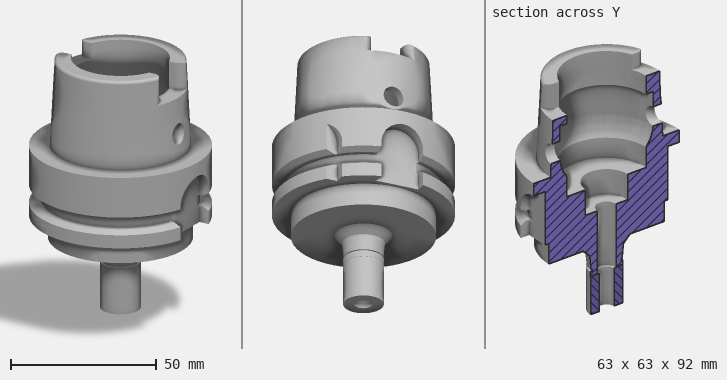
import cadquery as cq
import math


TAPER_TOP = 32.0
TAPER_BASE_RADIUS = 24.3
TAPER_SLOPE = 0.05
TAPER_TOP_RADIUS = TAPER_BASE_RADIUS - TAPER_SLOPE * TAPER_TOP
RIM_FILLET = 1.2

FLANGE_RADIUS = 31.5
FLANGE_BOTTOM = -26.0
GROOVE_CENTRE_Z = -17.9
GROOVE_HALF_WIDTH = 1.95
GROOVE_BOTTOM_RADIUS = 27.45
FLANK_INNER_RADIUS = 29.2
FLANK_ANGLE = 30.0
FLANK_RISE = (FLANGE_RADIUS - FLANK_INNER_RADIUS) * math.tan(math.radians(FLANK_ANGLE))

HUB_RADIUS = 25.0
HUB_BOTTOM = -34.0
NECK_TOP = -36.7
NECK_BOTTOM = -42.3
NECK_TOP_RADIUS = 7.42
NECK_BOTTOM_RADIUS = 6.85
CONE_TOP_RADIUS = NECK_TOP_RADIUS + HUB_BOTTOM - NECK_TOP
RELIEF_RADIUS = 6.35
RELIEF_BOTTOM = -42.9
COLLAR_RADIUS = 7.1

TIP_RADIUS = 7.0
TIP_TOP = -45.0
TIP_BOTTOM = -60.0
TIP_BORE_RADIUS = 3.1

MOUTH_RADIUS = 17.0
SHOULDER_Z = 18.7
CHAMBER_RADIUS = 20.0
CHAMBER_ARC_TOP = 6.2
CHAMBER_ARC_RADIUS = 13.0
CAVITY_FLOOR = -10.0
TUBE_SEAT_RADIUS = 9.0
TUBE_SEAT_DEPTH = 10.0
COOLANT_BORE_RADIUS = 4.0

DRIVE_SLOT_WIDTH = 12.5
DRIVE_CORNER_RADIUS = 3.0
DRIVE_FACE_X = 21.0
DRIVE_FLOOR_MINUS_X = 26.0
DRIVE_FLOOR_PLUS_X = 22.0

CROSS_HOLE_DIAMETER = 7.5
CROSS_HOLE_Z = 9.0

KEY_TOP = -5.0
KEY_FLOOR_X = 26.5
KEY_WIDTH_MINUS_X = 16.0
KEY_WIDTH_PLUS_X = 18.0
NOTCH_X = 20.3
NOTCH_Y = 20.0
NOTCH_WIDTH = 18.0
NOTCH_TOP = -3.5


def disc(radius, bottom, top):
    """Cylinder on the Z axis between two heights."""
    return cq.Workplane("XY").workplane(offset=bottom).circle(radius).extrude(top - bottom)


def turned_holder():
    """Solid of revolution: taper, grooved flange, hub, cone, neck, relief and collar."""
    groove_top = GROOVE_CENTRE_Z + GROOVE_HALF_WIDTH
    groove_bottom = GROOVE_CENTRE_Z - GROOVE_HALF_WIDTH
    profile = [
        (0, TAPER_TOP),
        (TAPER_TOP_RADIUS, TAPER_TOP),
        (TAPER_BASE_RADIUS, 0),
        (FLANGE_RADIUS, 0),
        (FLANGE_RADIUS, groove_top + FLANK_RISE),
        (FLANK_INNER_RADIUS, groove_top),
        (GROOVE_BOTTOM_RADIUS, groove_top),
        (GROOVE_BOTTOM_RADIUS, groove_bottom),
        (FLANK_INNER_RADIUS, groove_bottom),
        (FLANGE_RADIUS, groove_bottom - FLANK_RISE),
        (FLANGE_RADIUS, FLANGE_BOTTOM),
        (HUB_RADIUS, FLANGE_BOTTOM),
        (HUB_RADIUS, HUB_BOTTOM),
        (CONE_TOP_RADIUS, HUB_BOTTOM),
        (NECK_TOP_RADIUS, NECK_TOP),
        (NECK_BOTTOM_RADIUS, NECK_BOTTOM),
        (RELIEF_RADIUS, NECK_BOTTOM),
        (RELIEF_RADIUS, RELIEF_BOTTOM),
        (COLLAR_RADIUS, RELIEF_BOTTOM),
        (COLLAR_RADIUS, TIP_TOP),
        (0, TIP_TOP),
    ]
    blank = cq.Workplane("YZ").polyline(profile).close().revolve(360, (0, 0), (0, 1))
    return blank.faces(">Z").edges().fillet(RIM_FILLET)


def chamber():
    """Wider ring behind the mouth, narrowing back to the mouth radius along a hollow arc."""
    arc_centre = CHAMBER_RADIUS - CHAMBER_ARC_RADIUS
    arc_sweep = math.acos((MOUTH_RADIUS - arc_centre) / CHAMBER_ARC_RADIUS)
    arc_middle = (
        arc_centre + CHAMBER_ARC_RADIUS * math.cos(arc_sweep / 2),
        CHAMBER_ARC_TOP - CHAMBER_ARC_RADIUS * math.sin(arc_sweep / 2),
    )
    arc_bottom = CHAMBER_ARC_TOP - CHAMBER_ARC_RADIUS * math.sin(arc_sweep)
    return (
        cq.Workplane("YZ")
        .moveTo(0, SHOULDER_Z)
        .lineTo(CHAMBER_RADIUS, SHOULDER_Z)
        .lineTo(CHAMBER_RADIUS, CHAMBER_ARC_TOP)
        .threePointArc(arc_middle, (MOUTH_RADIUS, arc_bottom))
        .lineTo(0, arc_bottom)
        .close()
        .revolve(360, (0, 0), (0, 1))
    )


def inner_cavity():
    """Stepped cavity: straight bore with a wider chamber, coolant tube seat and coolant bore."""
    bore = disc(MOUTH_RADIUS, CAVITY_FLOOR, TAPER_TOP)
    tube_seat = disc(TUBE_SEAT_RADIUS, CAVITY_FLOOR - TUBE_SEAT_DEPTH, CAVITY_FLOOR)
    coolant_bore = disc(COOLANT_BORE_RADIUS, TIP_TOP, CAVITY_FLOOR)
    return bore.union(chamber()).union(tube_seat).union(coolant_bore)


def drive_slot(side, floor_z):
    """Rim slot on the side -1 or +1 of X, with rounded corners running out to a flat face."""
    half_width = DRIVE_SLOT_WIDTH / 2
    corner_y = half_width + DRIVE_CORNER_RADIUS
    corner_x = DRIVE_FACE_X - DRIVE_CORNER_RADIUS
    arc_offset = DRIVE_CORNER_RADIUS * math.sqrt(0.5)
    arc_x = corner_x + arc_offset
    arc_y = corner_y - arc_offset
    outer_x = FLANGE_RADIUS
    outer_y = TAPER_BASE_RADIUS
    return (
        cq.Workplane("XY").workplane(offset=floor_z)
        .moveTo(0, -half_width)
        .lineTo(side * corner_x, -half_width)
        .threePointArc((side * arc_x, -arc_y), (side * DRIVE_FACE_X, -corner_y))
        .lineTo(side * DRIVE_FACE_X, -outer_y)
        .lineTo(side * outer_x, -outer_y)
        .lineTo(side * outer_x, outer_y)
        .lineTo(side * DRIVE_FACE_X, outer_y)
        .lineTo(side * DRIVE_FACE_X, corner_y)
        .threePointArc((side * arc_x, arc_y), (side * corner_x, half_width))
        .lineTo(0, half_width)
        .close()
        .extrude(TAPER_TOP - floor_z)
    )


def round_topped_slot(side, floor_x, centre_y, width, top_z):
    """Flange slot from floor_x outwards on the side -1 or +1 of X, open at the flange bottom."""
    radius = width / 2
    arc_z = top_z - radius
    return (
        cq.Workplane("YZ").workplane(offset=side * floor_x)
        .moveTo(centre_y - radius, FLANGE_BOTTOM)
        .lineTo(centre_y - radius, arc_z)
        .threePointArc((centre_y, top_z), (centre_y + radius, arc_z))
        .lineTo(centre_y + radius, FLANGE_BOTTOM)
        .close()
        .extrude(side * FLANGE_RADIUS)
    )


def cross_hole():
    """Hole along X through both walls of the taper."""
    return (
        cq.Workplane("YZ").workplane(offset=-FLANGE_RADIUS)
        .center(0, CROSS_HOLE_Z)
        .circle(CROSS_HOLE_DIAMETER / 2)
        .extrude(2 * FLANGE_RADIUS)
    )


def make_holder():
    notch_centre_y = NOTCH_Y + NOTCH_WIDTH / 2
    cutters = [
        inner_cavity(),
        cross_hole(),
        drive_slot(-1, DRIVE_FLOOR_MINUS_X),
        drive_slot(1, DRIVE_FLOOR_PLUS_X),
        round_topped_slot(-1, KEY_FLOOR_X, 0, KEY_WIDTH_MINUS_X, KEY_TOP),
        round_topped_slot(1, KEY_FLOOR_X, 0, KEY_WIDTH_PLUS_X, KEY_TOP),
        round_topped_slot(-1, NOTCH_X, notch_centre_y, NOTCH_WIDTH, NOTCH_TOP),
    ]
    holder = turned_holder()
    for cutter in cutters:
        holder = holder.cut(cutter)
    return holder


def make_tip():
    """Plain cylinder under the collar, with the narrower end of the coolant passage."""
    return disc(TIP_RADIUS, TIP_BOTTOM, TIP_TOP).cut(disc(TIP_BORE_RADIUS, TIP_BOTTOM, TIP_TOP))


holder = make_holder()
tip = make_tip()

result = cq.Compound.makeCompound([holder.val(), tip.val()])